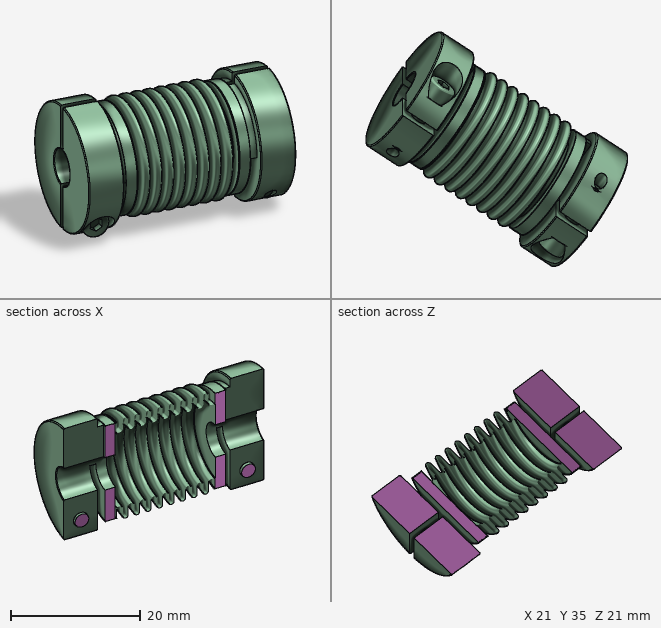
import cadquery as cq
import math


coupling_length = 35.0
end_y = coupling_length / 2

flange_diameter = 21.0
flange_radius = flange_diameter / 2
flange_width = 5.95
bore_diameter = 6.02
edge_chamfer = 0.18
bore_chamfer = 0.15
slot_width = 0.98
slot_offset = 0.052
slot_depth = 6.95

screw_drop = 7.5
screw_y = end_y - flange_width / 2
shank_diameter = 2.5
shank_length = 10.0
head_diameter = 4.5
head_height = 2.5
head_fillet = 0.35
head_top_x = -6.45
head_seat_x = head_top_x + head_height
shank_end_x = head_seat_x + shank_length
socket_flats = 2.0
socket_depth = 1.22
counterbore_diameter = 5.0
exit_hole_diameter = 1.92

bellows_length = 21.0
bellows_center_y = -0.088
wall = 0.1
collar_radius = 9.05
collar_width = 2.0
crest_radius = 9.55
trough_radius = 7.05
corrugation_count = 8
corrugated_length = 16.0
pitch = corrugated_length / corrugation_count
bend_radius = pitch / 4

neck_radius = collar_radius - wall
bellows_front_y = bellows_center_y - bellows_length / 2
hub_length = end_y + bellows_front_y + collar_width - wall


def x_cylinder(diameter, start_x, end_x):
    """Cylinder on the back hub's screw axis, running along +X."""
    return (
        cq.Workplane("YZ", origin=(start_x, screw_y, -screw_drop))
        .circle(diameter / 2)
        .extrude(end_x - start_x)
    )


def make_back_hub():
    """Clamping hub at the +Y end, with its screw head on the -X side."""
    bore_radius = bore_diameter / 2
    flange_inner_y = end_y - flange_width
    hub = (
        cq.Workplane("XY")
        .moveTo(bore_radius + bore_chamfer, end_y)
        .lineTo(flange_radius - edge_chamfer, end_y)
        .lineTo(flange_radius, end_y - edge_chamfer)
        .lineTo(flange_radius, flange_inner_y + edge_chamfer)
        .lineTo(flange_radius - edge_chamfer, flange_inner_y)
        .lineTo(neck_radius, flange_inner_y)
        .lineTo(neck_radius, end_y - hub_length)
        .lineTo(bore_radius, end_y - hub_length)
        .lineTo(bore_radius, end_y - bore_chamfer)
        .close()
        .revolve(360, (0, 0, 0), (0, 1, 0))
    )

    slot = (
        cq.Workplane("XY")
        .box(slot_width, slot_depth, flange_diameter)
        .translate((-slot_offset, end_y - slot_depth / 2, 0))
    )
    cross_cut = (
        cq.Workplane("XY")
        .box(flange_diameter, slot_depth - flange_width, flange_radius)
        .translate((0, end_y - (flange_width + slot_depth) / 2, -flange_radius / 2))
    )
    counterbore = x_cylinder(counterbore_diameter, -flange_radius, head_seat_x)
    shank_hole = x_cylinder(shank_diameter, head_seat_x, shank_end_x)
    exit_hole = x_cylinder(exit_hole_diameter, shank_end_x, flange_radius)
    return hub.cut(slot).cut(cross_cut).cut(counterbore).cut(shank_hole).cut(exit_hole)


def make_back_screw():
    """Socket head cap screw of the back hub."""
    head = x_cylinder(head_diameter, head_top_x, head_seat_x).faces("<X").edges().fillet(head_fillet)
    shank = x_cylinder(shank_diameter, head_seat_x, shank_end_x)
    socket = (
        cq.Workplane("YZ", origin=(head_top_x, screw_y, -screw_drop))
        .transformed(rotate=(0, 0, 90))
        .polygon(6, socket_flats / math.cos(math.pi / 6))
        .extrude(socket_depth)
    )
    return head.union(shank).cut(socket)


def add_corrugations(profile, start_y, direction, inset):
    """Trace every corrugation from one end trough to the other.

    inset is the distance of the traced surface inside the outer one.
    """
    crest_bend = bend_radius - inset
    trough_bend = bend_radius + inset
    trough = trough_radius - inset
    crest = crest_radius - inset
    diagonal = math.sqrt(0.5)
    for index in range(corrugation_count):
        trough_y = start_y + direction * index * pitch
        crest_y = trough_y + direction * pitch / 2
        next_trough_y = trough_y + direction * pitch
        rise_y = trough_y + direction * trough_bend
        fall_y = next_trough_y - direction * trough_bend
        bend_mid_radius = trough + trough_bend * (1 - diagonal)
        bend_mid_y = direction * trough_bend * diagonal
        profile = (
            profile
            .threePointArc((trough_y + bend_mid_y, bend_mid_radius), (rise_y, trough + trough_bend))
            .lineTo(rise_y, crest - crest_bend)
            .threePointArc((crest_y, crest), (fall_y, crest - crest_bend))
            .lineTo(fall_y, trough + trough_bend)
            .threePointArc((next_trough_y - bend_mid_y, bend_mid_radius), (next_trough_y, trough))
        )
    return profile


def make_bellows():
    """Thin corrugated tube with a collar at each end, of constant wall thickness."""
    front_y = bellows_front_y
    back_y = front_y + bellows_length
    front_wall_y = front_y + collar_width
    back_wall_y = back_y - collar_width
    first_trough_y = bellows_center_y - corrugated_length / 2
    last_trough_y = bellows_center_y + corrugated_length / 2
    inner_trough = trough_radius - wall

    profile = (
        cq.Workplane("YZ")
        .moveTo(front_y, neck_radius)
        .lineTo(front_y, collar_radius)
        .lineTo(front_wall_y, collar_radius)
        .lineTo(front_wall_y, trough_radius)
        .lineTo(first_trough_y, trough_radius)
    )
    profile = add_corrugations(profile, first_trough_y, 1, 0)
    profile = (
        profile
        .lineTo(back_wall_y, trough_radius)
        .lineTo(back_wall_y, collar_radius)
        .lineTo(back_y, collar_radius)
        .lineTo(back_y, neck_radius)
        .lineTo(back_wall_y + wall, neck_radius)
        .lineTo(back_wall_y + wall, inner_trough)
        .lineTo(last_trough_y, inner_trough)
    )
    profile = add_corrugations(profile, last_trough_y, -1, wall)
    return (
        profile
        .lineTo(front_wall_y - wall, inner_trough)
        .lineTo(front_wall_y - wall, neck_radius)
        .close()
        .revolve(360, (0, 0, 0), (1, 0, 0))
    )


bodies = [make_bellows().val()]
back_hub = make_back_hub()
back_screw = make_back_screw()
for turn in (0, 180):
    hub = back_hub.rotate((0, 0, 0), (0, 0, 1), turn)
    screw = back_screw.rotate((0, 0, 0), (0, 0, 1), turn)
    bodies.append(hub.solids().val())
    bodies.append(screw.solids().val())

result = cq.Compound.makeCompound(bodies)